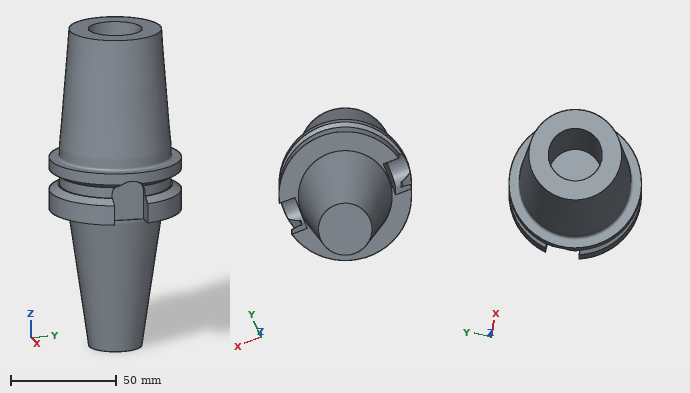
import cadquery as cq
import math

total_length = 155.4
gauge_radius = 22.2
gauge_height = 65.5
taper_ratio = 7 / 24
shank_tip_radius = gauge_radius - gauge_height * taper_ratio / 2

flange_diameter = 63.0
flange_radius = flange_diameter / 2
flange_bottom = 67.3
flange_top = 92.5
lower_rim_top = 76.8
upper_rim_bottom = 87.0
groove_diameter = 53.0
groove_radius = groove_diameter / 2
groove_bevel_height = 2.5
groove_bottom = lower_rim_top + groove_bevel_height
groove_top = upper_rim_bottom - groove_bevel_height
groove_flank_angle = 30
groove_edge_radius = flange_radius - groove_bevel_height / math.tan(math.radians(groove_flank_angle))

collar_radius = groove_radius
collar_top = 98.2
collar_fillet = 1.2
nose_diameter = 44.0
nose_radius = nose_diameter / 2

bore_radius = 12.7
bore_depth = 46.6

slot_width = 16.2
slot_top = 88.6
slot_floor = 22.5


def make_body():
    fillet_offset = collar_fillet * (1 - math.sqrt(0.5))
    return (
        cq.Workplane("XZ")
        .lineTo(shank_tip_radius, 0)
        .lineTo(gauge_radius, gauge_height)
        .lineTo(gauge_radius, flange_bottom)
        .lineTo(flange_radius, flange_bottom)
        .lineTo(flange_radius, lower_rim_top)
        .lineTo(groove_edge_radius, groove_bottom)
        .lineTo(groove_radius, groove_bottom)
        .lineTo(groove_radius, groove_top)
        .lineTo(groove_edge_radius, groove_top)
        .lineTo(flange_radius, upper_rim_bottom)
        .lineTo(flange_radius, flange_top)
        .lineTo(collar_radius + collar_fillet, flange_top)
        .threePointArc(
            (collar_radius + fillet_offset, flange_top + fillet_offset),
            (collar_radius, flange_top + collar_fillet),
        )
        .lineTo(collar_radius, collar_top)
        .lineTo(nose_radius, total_length)
        .lineTo(0, total_length)
        .close()
        .revolve(360, (0, 0, 0), (0, 1, 0))
    )


def make_drive_slot():
    """Slot cutter on the +X side, open at the flange's underside."""
    half_width = slot_width / 2
    arc_start = slot_top - half_width
    return (
        cq.Workplane("YZ", origin=(slot_floor, 0, 0))
        .moveTo(-half_width, flange_bottom)
        .lineTo(half_width, flange_bottom)
        .lineTo(half_width, arc_start)
        .threePointArc((0, slot_top), (-half_width, arc_start))
        .close()
        .extrude(flange_radius)
    )


def make_bore():
    return (
        cq.Workplane("XY", origin=(0, 0, total_length - bore_depth))
        .circle(bore_radius)
        .extrude(bore_depth)
    )


result = make_body().cut(make_bore())
for slot_angle in (0, 180):
    result = result.cut(make_drive_slot().rotate((0, 0, 0), (0, 0, 1), slot_angle))